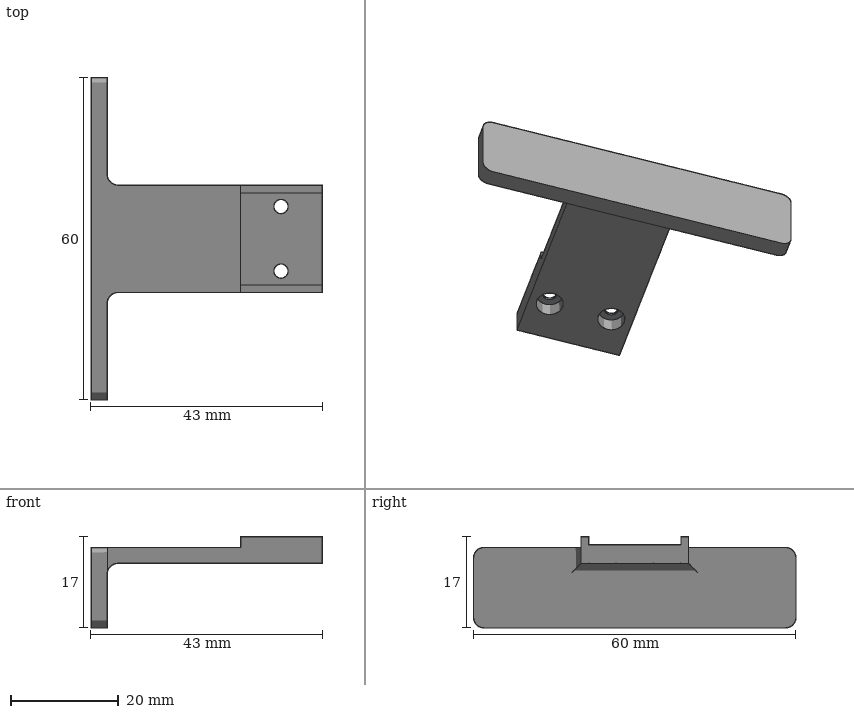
import cadquery as cq

plate_thickness = 3.0
plate_width = 60.0
plate_height = 15.0
plate_corner_radius = 2.0

total_length = 43.0
arm_width = 20.0
arm_thickness = 3.0
root_fillet_radius = 2.0

seat_length = 15.2
seat_floor_rise = 0.5
rail_rise = 2.0
channel_width = 17.1

hole_diameter = 2.6
counterbore_diameter = 5.0
counterbore_depth = arm_thickness
hole_spacing = 12.0
hole_setback = 7.5

arm_underside = plate_height - arm_thickness
seat_start = total_length - seat_length
hole_x = seat_start + hole_setback
rail_width = (arm_width - channel_width) / 2
rail_offset = (arm_width - rail_width) / 2


def block(x_start, x_end, y_center, width, z_bottom, z_top):
    """Box given by its X and Z limits and its Y centre and width."""
    length = x_end - x_start
    return (
        cq.Workplane("XY")
        .box(length, width, z_top - z_bottom, centered=(False, True, False))
        .translate((x_start, y_center, z_bottom))
    )


def make_plate():
    plate = block(0, plate_thickness, 0, plate_width, 0, plate_height)
    return plate.edges("|X").fillet(plate_corner_radius)


def make_arm():
    return block(0, total_length, 0, arm_width, arm_underside, plate_height)


def fillet_arm_root(body):
    """Round the inner corners where the sides and underside of the arm meet the plate."""
    half_width = arm_width / 2
    root_points = (
        (plate_thickness, half_width, plate_height - arm_thickness / 2),
        (plate_thickness, -half_width, plate_height - arm_thickness / 2),
        (plate_thickness, 0, arm_underside),
    )
    root_edges = [body.edges(cq.NearestToPointSelector(point)).val() for point in root_points]
    return body.newObject(root_edges).fillet(root_fillet_radius)


def make_seat():
    floor_top = plate_height + seat_floor_rise
    rail_top = plate_height + rail_rise
    seat = block(seat_start, total_length, 0, arm_width, arm_underside, floor_top)
    for side in (-1, 1):
        rail = block(seat_start, total_length, side * rail_offset, rail_width, arm_underside, rail_top)
        seat = seat.union(rail)
    return seat


def make_hole_pair(diameter, top):
    """Two upright cylinders from Z = 0 to the given height, at the screw positions."""
    return (
        cq.Workplane("XY")
        .pushPoints([(hole_x, side * hole_spacing / 2) for side in (-1, 1)])
        .circle(diameter / 2)
        .extrude(top)
    )


def cut_screw_holes(body):
    """Through holes, counterbored from the underside of the arm for the screw heads."""
    holes = make_hole_pair(hole_diameter, plate_height + rail_rise)
    counterbores = make_hole_pair(counterbore_diameter, arm_underside + counterbore_depth)
    return body.cut(holes).cut(counterbores)


body = fillet_arm_root(make_plate().union(make_arm()))
result = cut_screw_holes(body.union(make_seat()))